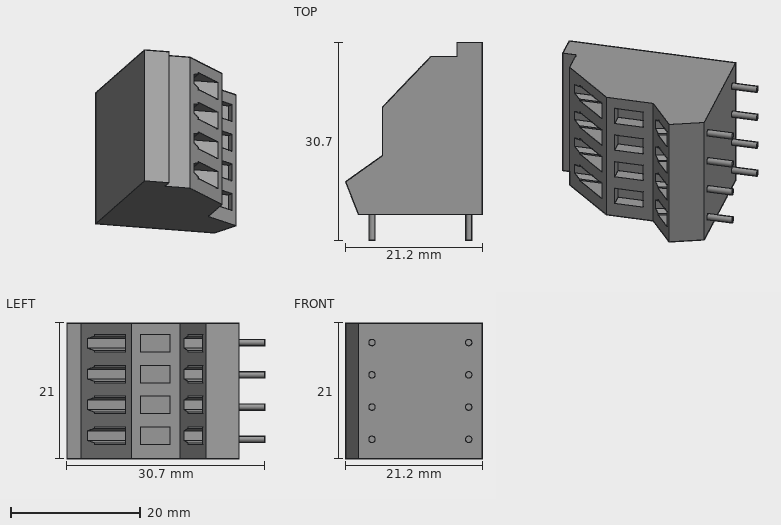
import cadquery as cq
import math

body_width = 21.2
body_depth = 26.7
body_height = 21.04
nose_x = 2.0
nose_y = 5.1
front_x = 5.7
front_start_y = 9.15
front_end_y = 16.65
shoulder_x = 13.25
shoulder_y = 24.54
rail_x = 17.25

pin_diameter = 1.0
pin_length = 4.0
pin_pitch = 5.0
pin_row_spacing = 15.0
pin_row_inset = 2.1

pole_count = 4
opening_pitch = 4.765
opening_shift = 0.225
opening_height = 2.7
floor_height = 1.47
mouth_height = 2.23

upper_tilt = 0
upper_start_y = 17.65
upper_ledge_y = 22.45
upper_floor_y = 23.5

lower_tilt = 13
lower_start_y = 5.7
lower_ledge_y = 7.93
lower_floor_y = 8.52

window_start_y = 10.75
window_end_y = 15.32
window_depth = 2.0


def centred_levels(count, pitch, shift=0.0):
    """Heights of evenly spaced rows about mid-height."""
    return [shift + (i - (count - 1) / 2) * pitch for i in range(count)]


def line_x(y, start, end):
    """X of the straight line from start to end at a given Y."""
    return start[0] + (end[0] - start[0]) * (y - start[1]) / (end[1] - start[1])


def make_body():
    outline = [
        (nose_x, 0),
        (0, nose_y),
        (front_x, front_start_y),
        (front_x, front_end_y),
        (shoulder_x, shoulder_y),
        (rail_x, shoulder_y),
        (rail_x, body_depth),
        (body_width, body_depth),
        (body_width, 0),
    ]
    return cq.Workplane("XY").polyline(outline).close().extrude(body_height / 2, both=True)


def make_socket(z, slope, start_y, ledge_y, floor_y, tilt):
    """Socket entering through a slope, its axis turned by tilt from -Y towards +X.

    Its far side is a flat floor with two sloping sides and a ledge beside each.
    The bottom is square to the axis and meets the floor level with the near edge of the mouth.
    """
    angle = math.radians(tilt)
    start_x = line_x(start_y, *slope)

    def across(y):
        """Distance across the socket from its near wall to the slope point at a given Y."""
        return (line_x(y, *slope) - start_x) * math.cos(angle) + (y - start_y) * math.sin(angle)

    ledge = across(ledge_y)
    floor = across(floor_y)
    depth = floor * math.tan(angle)
    floor_run = line_x(floor_y, *slope) - start_x
    reach = (floor_y - start_y) * math.cos(angle) - floor_run * math.sin(angle)
    section = [
        (0, -opening_height / 2),
        (ledge, -opening_height / 2),
        (ledge, -mouth_height / 2),
        (floor, -floor_height / 2),
        (floor, floor_height / 2),
        (ledge, mouth_height / 2),
        (ledge, opening_height / 2),
        (0, opening_height / 2),
    ]
    mouth_plane = cq.Plane(
        origin=(start_x, start_y, z),
        xDir=(math.cos(angle), math.sin(angle), 0),
        normal=(-math.sin(angle), math.cos(angle), 0),
    )
    return cq.Workplane(mouth_plane).workplane(offset=-depth).polyline(section).close().extrude(depth + reach)


def make_upper_socket(z):
    slope = ((front_x, front_end_y), (shoulder_x, shoulder_y))
    return make_socket(z, slope, upper_start_y, upper_ledge_y, upper_floor_y, upper_tilt)


def make_lower_socket(z):
    slope = ((0, nose_y), (front_x, front_start_y))
    return make_socket(z, slope, lower_start_y, lower_ledge_y, lower_floor_y, lower_tilt)


def make_window(z):
    length = window_end_y - window_start_y
    window = cq.Workplane("XY").box(window_depth, length, opening_height, centered=(False, False, True))
    return window.translate((front_x, window_start_y, z))


def make_pins():
    back_row_x = body_width - pin_row_inset
    points = [
        (x, z)
        for x in (back_row_x - pin_row_spacing, back_row_x)
        for z in centred_levels(pole_count, pin_pitch)
    ]
    return cq.Workplane("XZ").pushPoints(points).circle(pin_diameter / 2).extrude(pin_length)


body = make_body()
for z in centred_levels(pole_count, opening_pitch, opening_shift):
    body = body.cut(make_upper_socket(z))
    body = body.cut(make_lower_socket(z))
    body = body.cut(make_window(z))

result = body.union(make_pins())